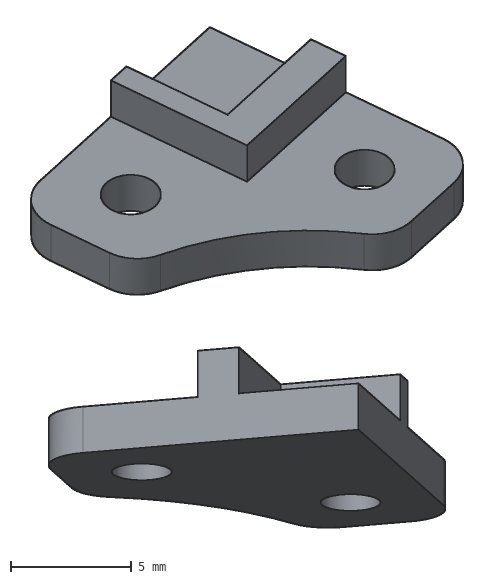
import cadquery as cq
import math

side = 14.0
plate_thickness = 2.0
corner_radius = 2.0
straight_end = 5.0
scoop_radius = 13.0

wall_height = 2.0
wall_outer = 7.0
seat_length_x = 5.2
seat_length_y = 5.9

hole_diameter = 2.5
hole_edge_distance = 3.5
lower_hole_x = 3.57
hole_centers = [
    (lower_hole_x, hole_edge_distance),
    (side - hole_edge_distance, side - hole_edge_distance),
]


def mirrored(point):
    """Reflect a point across the diagonal from (0, side) to (side, 0)."""
    x, y = point
    return (side - y, side - x)


def point_on_circle(center, radius, angle):
    return (center[0] + radius * math.cos(angle), center[1] + radius * math.sin(angle))


def make_plate():
    tip_center = (straight_end, corner_radius)
    center_distance = corner_radius + scoop_radius
    diagonal_gap = (side - sum(tip_center)) / math.sqrt(2)
    tip_end_angle = math.pi / 4 - math.acos(diagonal_gap / center_distance)

    scoop_center = point_on_circle(tip_center, center_distance, tip_end_angle)
    scoop_middle = point_on_circle(scoop_center, scoop_radius, 3 * math.pi / 4)
    tip_start = (straight_end, 0)
    tip_middle = point_on_circle(tip_center, corner_radius, (tip_end_angle - math.pi / 2) / 2)
    tip_end = point_on_circle(tip_center, corner_radius, tip_end_angle)

    outline = (
        cq.Workplane("XY")
        .moveTo(0, 0)
        .lineTo(*tip_start)
        .threePointArc(tip_middle, tip_end)
        .threePointArc(scoop_middle, mirrored(tip_end))
        .threePointArc(mirrored(tip_middle), mirrored(tip_start))
        .lineTo(side, side)
        .lineTo(0, side)
        .close()
    )
    plate = outline.extrude(plate_thickness)
    for corner in [(0, 0), (side, side)]:
        edge = cq.selectors.NearestToPointSelector((*corner, plate_thickness / 2))
        plate = plate.edges("|Z").edges(edge).fillet(corner_radius)
    return plate


def make_corner_block(length_x, length_y):
    """Block resting on the plate, flush with its -X and +Y sides."""
    return (
        cq.Workplane("XY", origin=(0, side, plate_thickness))
        .rect(length_x, -length_y, centered=False)
        .extrude(wall_height)
    )


def make_wall():
    return make_corner_block(wall_outer, wall_outer).cut(make_corner_block(seat_length_x, seat_length_y))


def make_holes():
    return (
        cq.Workplane("XY")
        .pushPoints(hole_centers)
        .circle(hole_diameter / 2)
        .extrude(plate_thickness)
    )


result = make_plate().union(make_wall()).cut(make_holes())